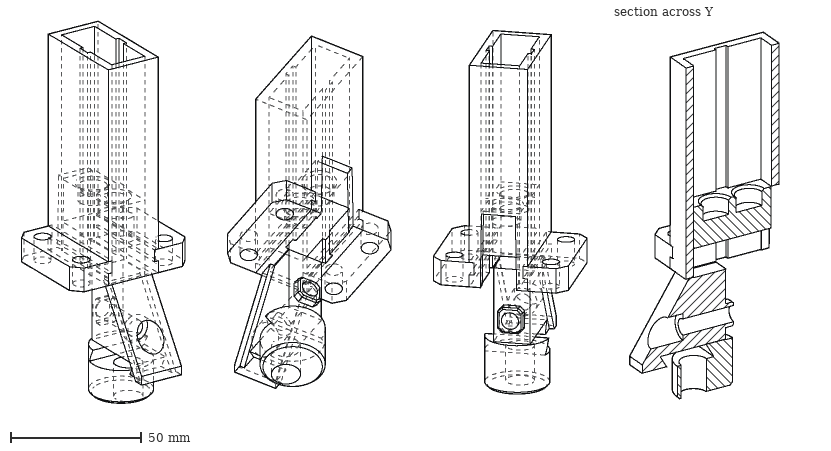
import cadquery as cq
import math


HOUSING_LENGTH = 42.0
HOUSING_WIDTH = 23.0
HOUSING_HEIGHT = 90.0
CAVITY_LENGTH = 35.0
CAVITY_WIDTH = 15.1
KEY_LENGTH = 5.3
KEY_SPAN = 17.8

WINDOW_HEIGHT = 30.0
WINDOW_TOP_WIDTH = 13.3
WINDOW_BOTTOM_WIDTH = 14.3

FLANGE_SPAN = 53.0
FLANGE_HEIGHT = 10.0
FLANGE_CHAMFER_X = 4.2
FLANGE_CHAMFER_Y = 3.9
FLANGE_HOLE_DIAMETER = 6.6
FLANGE_HOLE_SPACING_X = 27.0
FLANGE_HOLE_SPACING_Y = 38.0
TONGUE_DEPTH = 1.8
TONGUE_HEIGHT = FLANGE_HEIGHT / 2

INSERT_BOTTOM = 12.2
INSERT_TOP = WINDOW_HEIGHT
SOCKET_SPACING = 15.0
SOCKET_DIAMETER = 11.3
SOCKET_RIM_DIAMETER = 13.5
SOCKET_DEPTH = 7.0

WEB_LEFT = 3.0
WEB_WIDTH = 14.4
WEB_HEIGHT = 30.0
ARM_WIDTH = 18.3
ARM_TOP_LEFT = 13.7
ARM_TOP_RIGHT = 19.7
ARM_BOTTOM_LEFT = 36.7
ARM_TIP = 40.7
ARM_TIP_TOP = 31.4
ARM_HEIGHT = 35.0
TOOTH_ROOT = 32.5
DOVETAIL_ANGLE = 30.0

BORE_DEPTH = 19.9
BORE_DIAMETER = 6.7
COUNTERBORE_DIAMETER = 11.2
COUNTERBORE_SEAT = 22.4
BOSS_LENGTH = 3.5
BOSS_WIDTH = 10.0
BOSS_HEIGHT = 10.4
BOSS_CORNER = 1.8
BOSS_CHAMFER = 0.7

KNOB_DIAMETER = 25.0
KNOB_X = 12.5
KNOB_BOTTOM = 50.0
KNOB_CHAMFER = 1.1
KNOB_HOLE_DIAMETER = 11.2
KNOB_HOLE_X = 17.5
NOTCH_TOP = 11.9
NOTCH_DEPTH = 5.9

DOVETAIL_LEAN = math.tan(math.radians(DOVETAIL_ANGLE))


def keyed_prism(bottom, top):
    """Upright prism with the cavity outline: a rectangle with a key on each long side."""
    base = cq.Workplane("XY", origin=(0, 0, bottom))
    core = base.rect(CAVITY_LENGTH, CAVITY_WIDTH).extrude(top - bottom)
    keys = base.rect(KEY_LENGTH, KEY_SPAN).extrude(top - bottom)
    return core.union(keys)


def make_tongue(side):
    """Bar along X that fills the housing groove on the -Y side (side = -1) or the +Y side (side = 1)."""
    middle_y = side * (HOUSING_WIDTH - TONGUE_DEPTH) / 2
    return (
        cq.Workplane("XY", origin=(0, middle_y, FLANGE_HEIGHT - TONGUE_HEIGHT))
        .rect(HOUSING_LENGTH, TONGUE_DEPTH)
        .extrude(TONGUE_HEIGHT)
    )


def make_flange(side):
    """Flange on the -Y side (side = -1) or the +Y side (side = 1), with clipped outer corners."""
    inner_y = side * HOUSING_WIDTH / 2
    outer_y = side * FLANGE_SPAN / 2
    clip_y = outer_y - side * FLANGE_CHAMFER_Y
    end_x = HOUSING_LENGTH / 2
    clip_x = end_x - FLANGE_CHAMFER_X
    plate = (
        cq.Workplane("XY")
        .polyline([
            (-end_x, inner_y),
            (-end_x, clip_y),
            (-clip_x, outer_y),
            (clip_x, outer_y),
            (end_x, clip_y),
            (end_x, inner_y),
        ])
        .close()
        .extrude(FLANGE_HEIGHT)
    )
    holes = (
        cq.Workplane("XY")
        .center(0, side * FLANGE_HOLE_SPACING_Y / 2)
        .rarray(FLANGE_HOLE_SPACING_X, 1.4, 2, 1)
        .circle(FLANGE_HOLE_DIAMETER / 2)
        .extrude(FLANGE_HEIGHT)
    )
    return plate.union(make_tongue(side)).cut(holes)


def make_housing():
    """Tube with the cavity through it, the tapering window and a groove for each tongue."""
    wall = (HOUSING_LENGTH - CAVITY_LENGTH) / 2
    housing = cq.Workplane("XY").rect(HOUSING_LENGTH, HOUSING_WIDTH).extrude(HOUSING_HEIGHT)
    housing = housing.cut(keyed_prism(0, HOUSING_HEIGHT))
    window = (
        cq.Workplane("YZ", origin=(-HOUSING_LENGTH / 2, 0, 0))
        .polyline([
            (-WINDOW_BOTTOM_WIDTH / 2, 0),
            (WINDOW_BOTTOM_WIDTH / 2, 0),
            (WINDOW_TOP_WIDTH / 2, WINDOW_HEIGHT),
            (-WINDOW_TOP_WIDTH / 2, WINDOW_HEIGHT),
        ])
        .close()
        .extrude(wall)
    )
    housing = housing.cut(window)
    for side in (-1, 1):
        housing = housing.cut(make_tongue(side))
    return housing


def make_insert():
    """Block that fills the cavity outline, with two blind sockets with 45 degree rims."""
    rim_depth = (SOCKET_RIM_DIAMETER - SOCKET_DIAMETER) / 2
    socket = (
        cq.Workplane("XZ")
        .polyline([
            (0, 0),
            (SOCKET_RIM_DIAMETER / 2, 0),
            (SOCKET_DIAMETER / 2, -rim_depth),
            (SOCKET_DIAMETER / 2, -SOCKET_DEPTH),
            (0, -SOCKET_DEPTH),
        ])
        .close()
        .revolve(360, (0, 0, 0), (0, 1, 0))
    )
    insert = keyed_prism(INSERT_BOTTOM, INSERT_TOP)
    for side in (-1, 1):
        insert = insert.cut(socket.translate((side * SOCKET_SPACING / 2, 0, INSERT_TOP)))
    return insert


def side_profile(points, width):
    """Prism of an outline in the XZ plane, centred on Y = 0."""
    return cq.Workplane("XZ").polyline(points).close().extrude(width / 2, both=True)


def make_bracket():
    """Web, hooked arm and boss in one piece, with a counterbored hole along X."""
    tooth_tip = TOOTH_ROOT - (ARM_HEIGHT - WEB_HEIGHT) * DOVETAIL_LEAN
    web = side_profile([
        (WEB_LEFT, 0),
        (ARM_TOP_LEFT, 0),
        (ARM_BOTTOM_LEFT, -ARM_HEIGHT),
        (tooth_tip, -ARM_HEIGHT),
        (TOOTH_ROOT, -WEB_HEIGHT),
        (WEB_LEFT, -WEB_HEIGHT),
    ], WEB_WIDTH)
    arm = side_profile([
        (ARM_TOP_LEFT, 0),
        (ARM_TOP_RIGHT, 0),
        (ARM_TIP, -ARM_TIP_TOP),
        (ARM_TIP, -ARM_HEIGHT),
        (ARM_BOTTOM_LEFT, -ARM_HEIGHT),
    ], ARM_WIDTH)
    boss = (
        cq.Workplane("YZ", origin=(WEB_LEFT, 0, -BORE_DEPTH))
        .rect(BOSS_WIDTH, BOSS_HEIGHT)
        .extrude(-BOSS_LENGTH)
        .edges("|X")
        .chamfer(BOSS_CORNER)
        .faces("<X")
        .chamfer(BOSS_CHAMFER)
    )
    bore = (
        cq.Workplane("YZ", origin=(WEB_LEFT - BOSS_LENGTH, 0, -BORE_DEPTH))
        .circle(BORE_DIAMETER / 2)
        .extrude(ARM_TIP)
    )
    counterbore = (
        cq.Workplane("YZ", origin=(COUNTERBORE_SEAT, 0, -BORE_DEPTH))
        .circle(COUNTERBORE_DIAMETER / 2)
        .extrude(ARM_TIP - COUNTERBORE_SEAT)
    )
    return web.union(arm).union(boss).cut(bore).cut(counterbore)


def make_knob():
    """Cylinder with a chamfered bottom edge, a dovetail notch and an off-centre vertical hole."""
    knob = (
        cq.Workplane("XY", origin=(KNOB_X, 0, -KNOB_BOTTOM))
        .circle(KNOB_DIAMETER / 2)
        .extrude(KNOB_BOTTOM - WEB_HEIGHT)
        .faces("<Z")
        .chamfer(KNOB_CHAMFER)
    )
    right = KNOB_X + KNOB_DIAMETER / 2
    notch_floor = -WEB_HEIGHT - NOTCH_DEPTH
    notch = side_profile([
        (NOTCH_TOP, -WEB_HEIGHT),
        (right, -WEB_HEIGHT),
        (right, notch_floor),
        (NOTCH_TOP - NOTCH_DEPTH * DOVETAIL_LEAN, notch_floor),
    ], KNOB_DIAMETER)
    hole = (
        cq.Workplane("XY", origin=(KNOB_HOLE_X, 0, -WEB_HEIGHT))
        .circle(KNOB_HOLE_DIAMETER / 2)
        .extrude(WEB_HEIGHT - KNOB_BOTTOM)
    )
    return knob.cut(notch).cut(hole)


flanges = [make_flange(side) for side in (-1, 1)]
housing = make_housing()
insert = make_insert()
bracket = make_bracket()
knob = make_knob()

result = cq.Compound.makeCompound([
    housing.val(),
    *[flange.val() for flange in flanges],
    insert.val(),
    bracket.val(),
    knob.val(),
])